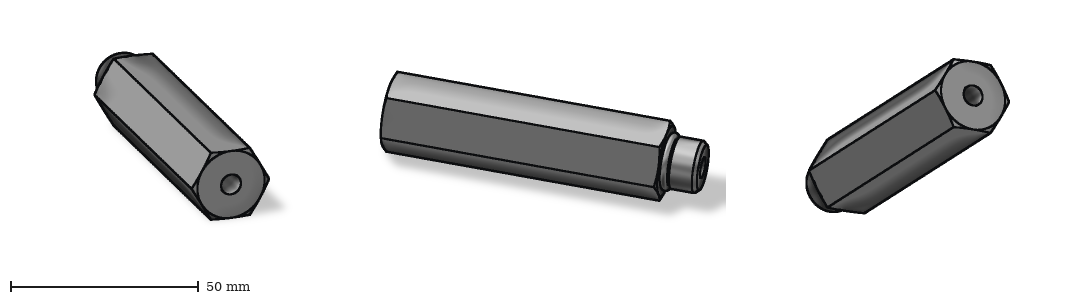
import cadquery as cq
import math

total_length = 86.4
across_flats = 19.1
shoulder_x = 10.0
corner_chamfer_length = 0.5
bore_diameter = 5.6

spigot_diameter = 14.25
spigot_tip_diameter = 12.3
spigot_tip_length = 1.1
spigot_end_x = 7.4
groove_flank_angle = 30

ring_outer_diameter = 15.8
ring_section_diameter = 2.0

hex_length = total_length - shoulder_x
across_corners = across_flats / math.cos(math.pi / 6)
groove_diameter = ring_outer_diameter - 2 * ring_section_diameter
groove_depth = (spigot_diameter - groove_diameter) / 2
groove_floor_x = spigot_end_x + groove_depth * math.tan(math.radians(groove_flank_angle))


def revolve_about_x(profile):
    """Turn a closed (x, radius) outline about the X axis."""
    return cq.Workplane("XY").polyline(profile).close().revolve(360, (0, 0, 0), (1, 0, 0))


def make_hexagon():
    """Hexagonal barrel with flats facing +Z and -Z, corners turned off at both ends."""
    prism = (
        cq.Workplane("YZ", origin=(shoulder_x, 0, 0))
        .polygon(6, across_corners)
        .extrude(hex_length)
    )
    turned_envelope = revolve_about_x([
        (shoulder_x, 0),
        (shoulder_x, across_flats / 2),
        (shoulder_x + corner_chamfer_length, across_corners / 2),
        (total_length - corner_chamfer_length, across_corners / 2),
        (total_length, across_flats / 2),
        (total_length, 0),
    ])
    return prism.intersect(turned_envelope)


def make_spigot():
    """Stepped spigot with a chamfered tip and a tapered-flank seal groove against the hexagon."""
    return revolve_about_x([
        (0, 0),
        (0, spigot_tip_diameter / 2),
        (spigot_tip_length, spigot_diameter / 2),
        (spigot_end_x, spigot_diameter / 2),
        (groove_floor_x, groove_diameter / 2),
        (shoulder_x, groove_diameter / 2),
        (shoulder_x, 0),
    ])


def make_housing():
    """Hexagonal housing and spigot with a bore right through."""
    bore = cq.Workplane("YZ").circle(bore_diameter / 2).extrude(total_length)
    return make_hexagon().union(make_spigot()).cut(bore)


def make_o_ring():
    """O-ring seated on the groove floor and against the hexagon face."""
    section_radius = ring_section_diameter / 2
    center_radius = (ring_outer_diameter - ring_section_diameter) / 2
    return (
        cq.Workplane("XY")
        .center(shoulder_x - section_radius, center_radius)
        .circle(section_radius)
        .revolve(360, (0, -center_radius, 0), (1, -center_radius, 0))
    )


housing = make_housing()
o_ring = make_o_ring()

result = cq.Compound.makeCompound([housing.val(), o_ring.val()])